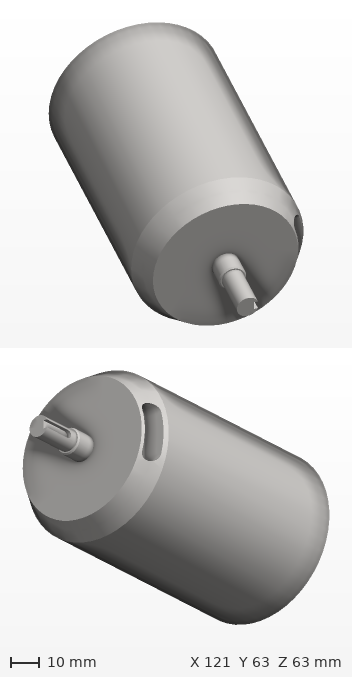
import cadquery as cq
import math

body_radius = 31.5
body_length = 97.0
taper_depth = 5.0
taper_angle = 30.0
taper_length = taper_depth / math.tan(math.radians(taper_angle))
end_face_radius = body_radius - taper_depth

boss_radius = 5.0
boss_length = 8.0
boss_chamfer = 0.5
shaft_radius = 4.0
total_length = 121.0

key_width = 3.0
keyway_depth = 1.8
keyway_length = 13.0
keyway_floor_y = shaft_radius - keyway_depth

slot_width = 6.0
slot_length = 22.0
slot_end_margin = 1.0
slot_floor_y = 22.0
slot_center_x = body_length - slot_end_margin - slot_width / 2


def make_turned_body():
    """Revolve the half profile of housing, boss and shaft about the X axis."""
    boss_end = body_length + boss_length
    profile = (
        cq.Workplane("XY")
        .moveTo(0, 0)
        .lineTo(0, -body_radius)
        .lineTo(body_length - taper_length, -body_radius)
        .lineTo(body_length, -end_face_radius)
        .lineTo(body_length, -boss_radius)
        .lineTo(boss_end - boss_chamfer, -boss_radius)
        .lineTo(boss_end, boss_chamfer - boss_radius)
        .lineTo(boss_end, -shaft_radius)
        .lineTo(total_length, -shaft_radius)
        .lineTo(total_length, 0)
        .close()
    )
    return profile.revolve(360, (0, 0, 0), (1, 0, 0))


def make_slot_cutter():
    """Obround prism, long in Z, reaching from the slot floor out past the housing."""
    return (
        cq.Workplane("XZ", origin=(slot_center_x, slot_floor_y, 0))
        .slot2D(slot_length, slot_width, 90)
        .extrude(slot_floor_y - body_radius)
    )


def make_keyway_cutter():
    """Key-shaped prism along X whose outer round end lies wholly past the shaft tip."""
    cutter_length = keyway_length + key_width
    cutter_center_x = total_length - keyway_length + cutter_length / 2
    return (
        cq.Workplane("XZ", origin=(cutter_center_x, keyway_floor_y, 0))
        .slot2D(cutter_length, key_width)
        .extrude(-keyway_depth)
    )


result = make_turned_body().cut(make_slot_cutter()).cut(make_keyway_cutter())